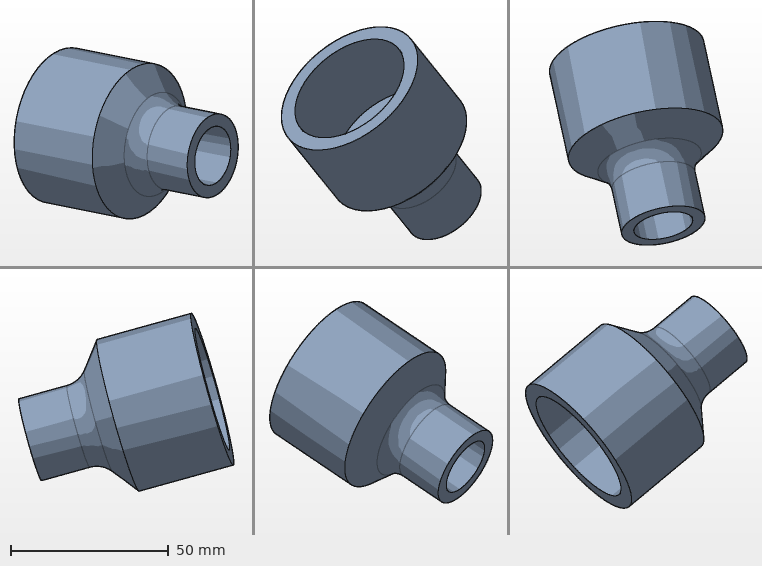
import cadquery as cq
import math

total_length = 60.0
large_outer_diameter = 50.0
large_bore_diameter = 40.0
small_outer_diameter = 27.0
throat_diameter = 19.0

large_body_length = 31.0
small_spigot_length = 20.0
neck_fillet_radius = 8.45
large_bore_depth = 26.0
shoulder_radius = 12.0

large_outer_radius = large_outer_diameter / 2
large_bore_radius = large_bore_diameter / 2
small_outer_radius = small_outer_diameter / 2
throat_radius = throat_diameter / 2


def outer_body():
    """Large cylinder, cone and small spigot, the neck blended by a tangent arc."""
    corner_x = total_length - small_spigot_length
    cone_angle = math.atan2(large_outer_radius - small_outer_radius, corner_x - large_body_length)
    tangent_length = neck_fillet_radius * math.tan(cone_angle / 2)

    arc_start = (
        corner_x - tangent_length * math.cos(cone_angle),
        small_outer_radius + tangent_length * math.sin(cone_angle),
    )
    arc_end_x = corner_x + tangent_length
    arc_middle = (
        arc_end_x - neck_fillet_radius * math.sin(cone_angle / 2),
        small_outer_radius + neck_fillet_radius * (1 - math.cos(cone_angle / 2)),
    )

    profile = (
        cq.Workplane("XY")
        .lineTo(0, large_outer_radius)
        .lineTo(large_body_length, large_outer_radius)
        .lineTo(*arc_start)
        .threePointArc(arc_middle, (arc_end_x, small_outer_radius))
        .lineTo(total_length, small_outer_radius)
        .lineTo(total_length, 0)
        .close()
    )
    return profile.revolve(360, (0, 0), (1, 0))


def inner_passage():
    """Large bore narrowing to the throat through a convex rounded shoulder."""
    arc_centre_radius = throat_radius + shoulder_radius
    arc_angle = math.acos((arc_centre_radius - large_bore_radius) / shoulder_radius)
    shoulder_end_x = large_bore_depth + shoulder_radius * math.sin(arc_angle)
    shoulder_middle = (
        shoulder_end_x - shoulder_radius * math.sin(arc_angle / 2),
        arc_centre_radius - shoulder_radius * math.cos(arc_angle / 2),
    )

    profile = (
        cq.Workplane("XY")
        .lineTo(0, large_bore_radius)
        .lineTo(large_bore_depth, large_bore_radius)
        .threePointArc(shoulder_middle, (shoulder_end_x, throat_radius))
        .lineTo(total_length, throat_radius)
        .lineTo(total_length, 0)
        .close()
    )
    return profile.revolve(360, (0, 0), (1, 0))


result = outer_body().cut(inner_passage())